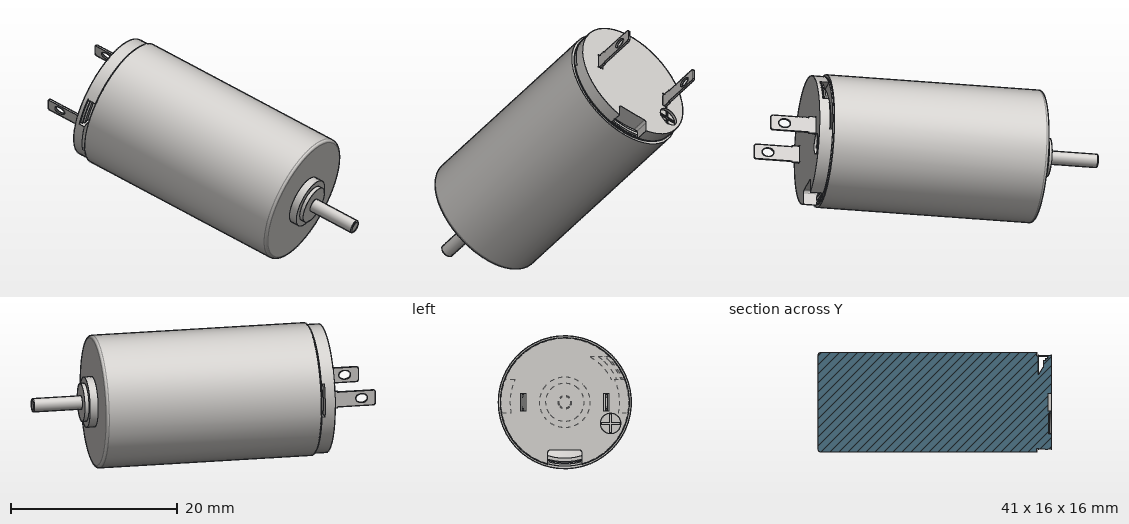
import cadquery as cq

OVERALL_LENGTH = 41.0

TERMINAL_LENGTH = 5.45
TERMINAL_THICKNESS = 0.25
TERMINAL_OFFSET = 5.0
TERMINAL_WIDTH = 1.85
TERMINAL_BASE_WIDTH = 2.1
TERMINAL_BASE_LENGTH = 0.8
TERMINAL_TIP_CHAMFER = 0.15
TERMINAL_ROOT = 0.8
EYE_LENGTH = 1.45
EYE_HEIGHT = 1.1
EYE_FROM_TIP = 1.7
RECESS_WIDTH = 0.65
RECESS_DEPTH = 0.4
RECESS_OUTER_MARGIN = 0.15

CAP_LENGTH = 1.6
CAP_RADIUS = 7.75
RIM_LENGTH = 0.15
RIM_RADIUS = 7.65
CAN_LENGTH = 26.32
CAN_RADIUS = 8.0
CAN_FRONT_ROUND = 0.33
BOSS_RADIUS = 3.05
BOSS_LENGTH = 1.0
COLLAR_RADIUS = 2.3
COLLAR_LENGTH = 0.5
SHAFT_RADIUS = 0.8
SHAFT_CHAMFER = 0.12

WINDOW_START = 0.5
WINDOW_STEP = 0.75
WINDOW_SHELF_END = 1.0
WINDOW_BOTTOM = 2.7
WINDOW_TOP = 5.5
UPPER_SHELF_RADIUS = 7.45
LOWER_SHELF_RADIUS = 7.3
SLIT_START = 1.25
SLIT_BOTTOM = -1.3
SLIT_FLOOR_RADIUS = 6.55
CORE_LARGE_RADIUS = 6.8
CORE_SMALL_RADIUS = 6.25

NOTCH_WIDTH = 4.1
NOTCH_TOP = -5.75
NOTCH_CORNER = 0.3
BOWL_RADIUS = 6.72
BOWL_DEPTH = 0.5
GROOVE_INNER_RADIUS = 7.15
GROOVE_OUTER_RADIUS = 7.42
GROOVE_DEPTH = 0.12

MARK_Y = -5.5
MARK_Z = -2.55
MARK_RADIUS = 1.25
MARK_DEPTH = 0.33
MARK_HEIGHT = 0.12
MARK_ARM_LENGTH = 2.2
MARK_ARM_WIDTH = 0.25

CAN_REAR = CAP_LENGTH + RIM_LENGTH
CAN_FRONT = CAN_REAR + CAN_LENGTH
BOSS_END = CAN_FRONT + BOSS_LENGTH
COLLAR_END = BOSS_END + COLLAR_LENGTH
SHAFT_END = OVERALL_LENGTH - TERMINAL_LENGTH


def box(x_range, y_range, z_range):
    """Axis-aligned box given by its limits."""
    ranges = (x_range, y_range, z_range)
    corner = cq.Vector(*[limits[0] for limits in ranges])
    sizes = [limits[1] - limits[0] for limits in ranges]
    return cq.Workplane(obj=cq.Solid.makeBox(*sizes, corner))


def turned(points):
    """Solid turned about the X axis from (x, radius) points."""
    return cq.Workplane("XY").polyline(points).close().revolve(360, (0, 0, 0), (1, 0, 0))


def cylinder(x_start, x_end, radius):
    return cq.Workplane("YZ", origin=(x_start, 0, 0)).circle(radius).extrude(x_end - x_start)


def motor_body():
    can = cylinder(CAN_REAR, CAN_FRONT, CAN_RADIUS)
    can = can.faces(">X").edges().fillet(CAN_FRONT_ROUND)
    shaft = cylinder(COLLAR_END, SHAFT_END, SHAFT_RADIUS).faces(">X").chamfer(SHAFT_CHAMFER)
    rim = cylinder(CAP_LENGTH, CAN_REAR, RIM_RADIUS)
    cap = cylinder(0, CAP_LENGTH, CAP_RADIUS)
    boss = cylinder(CAN_FRONT, BOSS_END, BOSS_RADIUS)
    collar = cylinder(BOSS_END, COLLAR_END, COLLAR_RADIUS)
    return can.union(rim).union(cap).union(boss).union(collar).union(shaft)


def side_window():
    """Stepped window through the -Y side of the cap."""
    profile = [
        (WINDOW_START, CAN_RADIUS),
        (WINDOW_START, UPPER_SHELF_RADIUS),
        (WINDOW_STEP, UPPER_SHELF_RADIUS),
        (WINDOW_STEP, LOWER_SHELF_RADIUS),
        (WINDOW_SHELF_END, LOWER_SHELF_RADIUS),
        (WINDOW_SHELF_END, CORE_LARGE_RADIUS),
        (CAP_LENGTH, CORE_SMALL_RADIUS),
        (CAP_LENGTH, CAN_RADIUS),
    ]
    limits = box((0, CAP_LENGTH), (-CAN_RADIUS, 0), (WINDOW_BOTTOM, WINDOW_TOP))
    return turned(profile).intersect(limits)


def side_slits():
    """Narrow slits against the rim on the -Y and +Y sides."""
    profile = [
        (SLIT_START, CAN_RADIUS),
        (SLIT_START, SLIT_FLOOR_RADIUS),
        (CAP_LENGTH, SLIT_FLOOR_RADIUS),
        (CAP_LENGTH, CAN_RADIUS),
    ]
    limits = box((0, CAP_LENGTH), (-CAN_RADIUS, CAN_RADIUS), (SLIT_BOTTOM, WINDOW_BOTTOM))
    return turned(profile).intersect(limits)


def lower_notch():
    """Notch at -Z whose end is a conical bowl and a V groove in the rim."""
    groove_middle = (GROOVE_INNER_RADIUS + GROOVE_OUTER_RADIUS) / 2
    profile = [
        (0, 0),
        (CAP_LENGTH + BOWL_DEPTH, 0),
        (CAP_LENGTH + BOWL_DEPTH, -NOTCH_TOP),
        (CAP_LENGTH, BOWL_RADIUS),
        (CAP_LENGTH, GROOVE_INNER_RADIUS),
        (CAP_LENGTH + GROOVE_DEPTH, groove_middle),
        (CAP_LENGTH, GROOVE_OUTER_RADIUS),
        (CAP_LENGTH, CAN_RADIUS),
        (0, CAN_RADIUS),
    ]
    limits = box(
        (0, CAP_LENGTH + BOWL_DEPTH),
        (-NOTCH_WIDTH / 2, NOTCH_WIDTH / 2),
        (-CAN_RADIUS, NOTCH_TOP),
    )
    limits = limits.faces(">Z").edges("|X").fillet(NOTCH_CORNER)
    return turned(profile).intersect(limits)


def plus_mark_recess():
    """Round recess that leaves a low plus sign standing on its floor."""
    face = cq.Workplane("YZ", origin=(0, MARK_Y, MARK_Z))
    plus_top = face.workplane(offset=MARK_DEPTH - MARK_HEIGHT)
    upright = plus_top.rect(MARK_ARM_WIDTH, MARK_ARM_LENGTH).extrude(MARK_HEIGHT)
    crossbar = plus_top.rect(MARK_ARM_LENGTH, MARK_ARM_WIDTH).extrude(MARK_HEIGHT)
    return face.circle(MARK_RADIUS).extrude(MARK_DEPTH).cut(upright).cut(crossbar)


def terminal_recess(side):
    outer_wall = TERMINAL_OFFSET + TERMINAL_THICKNESS / 2 + RECESS_OUTER_MARGIN
    walls = sorted((side * outer_wall, side * (outer_wall - RECESS_WIDTH)))
    half_width = TERMINAL_BASE_WIDTH / 2
    return box((0, RECESS_DEPTH), walls, (-half_width, half_width))


def terminal(side):
    """Flat tab with a chamfered tip, a wider base and an elliptical eye."""
    y_middle = side * TERMINAL_OFFSET
    y_range = (y_middle - TERMINAL_THICKNESS / 2, y_middle + TERMINAL_THICKNESS / 2)
    tab = box((-TERMINAL_LENGTH, 0), y_range, (-TERMINAL_WIDTH / 2, TERMINAL_WIDTH / 2))
    tab = tab.faces("<X").edges("|Y").chamfer(TERMINAL_TIP_CHAMFER)
    half_base = TERMINAL_BASE_WIDTH / 2
    base = box((-TERMINAL_BASE_LENGTH, TERMINAL_ROOT), y_range, (-half_base, half_base))
    eye = (
        cq.Workplane("XZ", origin=(EYE_FROM_TIP - TERMINAL_LENGTH, y_middle, 0))
        .ellipse(EYE_LENGTH / 2, EYE_HEIGHT / 2)
        .extrude(TERMINAL_THICKNESS, both=True)
    )
    return tab.union(base).cut(eye)


result = motor_body()
result = result.cut(side_window()).cut(side_slits())
result = result.cut(lower_notch()).cut(plus_mark_recess())
for side in (-1, 1):
    result = result.cut(terminal_recess(side)).union(terminal(side))